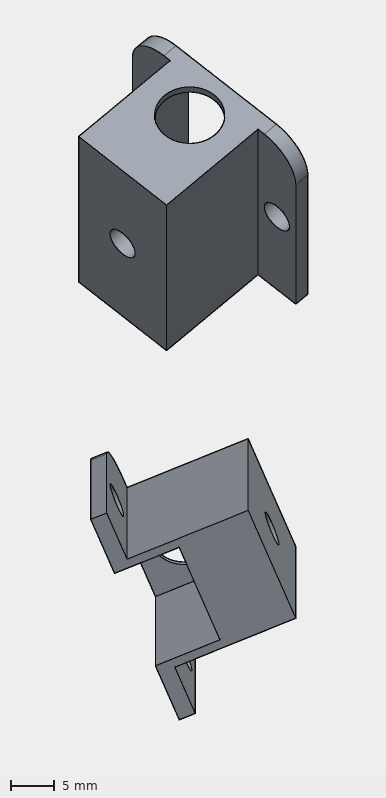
import cadquery as cq

height = 28.0
flange_width = 26.0
flange_thickness = 2.0
flange_corner_radius = 5.0
box_width = 14.0
total_depth = 17.0

wall_thickness = 1.0
cavity_width = box_width - 2 * wall_thickness
cavity_depth = 8.0
cavity_height = height - wall_thickness

small_hole_diameter = 4.0
mounting_hole_spacing = 20.0
front_hole_depth = 5.0
top_hole_diameter = 8.0
top_hole_setback = 6.0
top_hole_depth = 8.0
hole_height = height / 2


def box_from_back(width, depth, tall):
    """Box centred on X, reaching from Y = 0 toward -Y and standing on Z = 0."""
    return cq.Workplane("XY").box(width, depth, tall, centered=(True, False, False)).translate((0, -depth, 0))


def cylinder_along_y(x, y_start, length):
    """Small round cutter running toward +Y at the common hole height."""
    return cq.Workplane(
        cq.Solid.makeCylinder(
            small_hole_diameter / 2,
            length,
            cq.Vector(x, y_start, hole_height),
            cq.Vector(0, 1, 0),
        )
    )


flange = box_from_back(flange_width, flange_thickness, height)
flange = flange.edges("|Y and >Z").fillet(flange_corner_radius)
body = flange.union(box_from_back(box_width, total_depth, height))

body = body.cut(box_from_back(cavity_width, cavity_depth, cavity_height))

top_hole = (
    cq.Workplane("XY")
    .workplane(offset=height - top_hole_depth)
    .center(0, -top_hole_setback)
    .circle(top_hole_diameter / 2)
    .extrude(top_hole_depth)
)
body = body.cut(top_hole)

for side in (-1, 1):
    body = body.cut(cylinder_along_y(side * mounting_hole_spacing / 2, -flange_thickness, flange_thickness))

body = body.cut(cylinder_along_y(0, -total_depth, front_hole_depth))

result = body